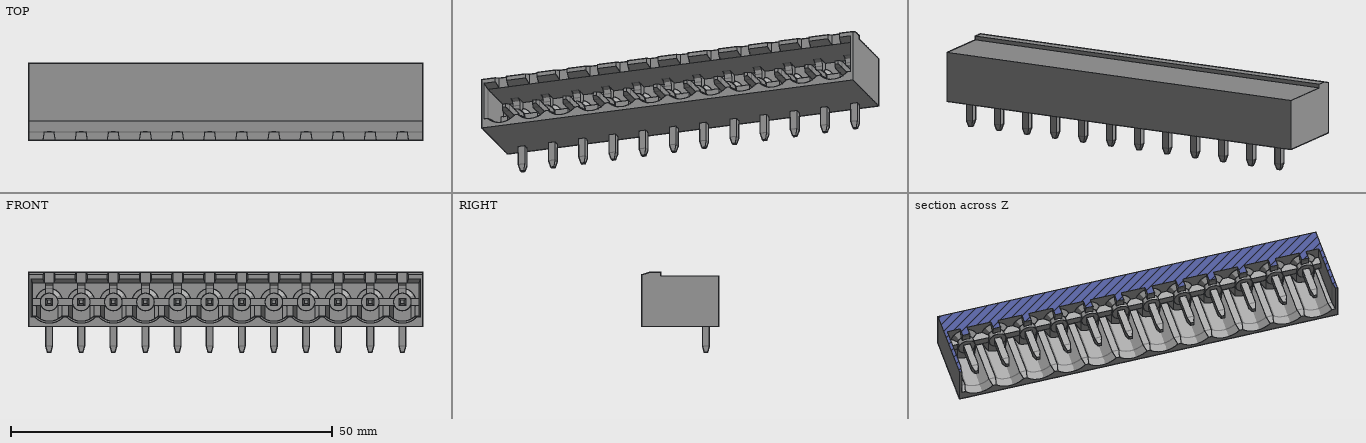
import cadquery as cq


PIN_COUNT = 12
PITCH = 5.0
END_MARGIN = 3.2
PIN_SIZE = 1.1
PIN_ROW_LENGTH = (PIN_COUNT - 1) * PITCH
PIN_X = [i * PITCH - PIN_ROW_LENGTH / 2 for i in range(PIN_COUNT)]

LENGTH = PIN_ROW_LENGTH + 2 * END_MARGIN
DEPTH = 12.0
REAR_HEIGHT = 7.9
LIP_HEIGHT = 8.5
LIP_DEPTH = 3.0
LEAD_IN = 1.3
LIP_FRONT_HEIGHT = 8.1

CAVITY_DEPTH = 8.5
MOUTH_WALL = 0.4
INNER_WALL = 0.6
MOUTH_CEILING = 7.42
INNER_CEILING = 6.84
MOUTH_FLOOR = 1.5
INNER_FLOOR = 1.65

SCALLOP_AXIS_Z = 3.65
SCALLOP_RADIUS = 2.8
SCALLOP_MOUTH_RADIUS = 3.1

NOTCH_MOUTH_WIDTH = 1.9
NOTCH_INNER_WIDTH = 1.5

PIN_Z = 3.85
SEAT_HEIGHT = 1.3
SEAT_RADIUS = 1.37
PAD_BASE_HALF_WIDTH = 2.0
CONE_HEIGHT = 0.75
CONE_BASE_RADIUS = 2.1
SEAT_FACE = CAVITY_DEPTH - SEAT_HEIGHT
HUB_HEIGHT = 0.4
BAR_HEIGHT = 1.1
COLUMN_WIDTH = 1.2
COLUMN_FILLET = 0.9

CONTACT_TIP_Y = 1.4
TAIL_Y = 10.0
TAIL_TIP_Z = -4.0
TAPER_LENGTH = 1.0
TIP_SIZE = 0.55


def box(x_min, x_max, y_min, y_max, z_min, z_max):
    size = (x_max - x_min, y_max - y_min, z_max - z_min)
    return cq.Workplane("XY").box(*size, centered=False).translate((x_min, y_min, z_min))


def facing_front(y):
    """Workplane at depth y whose local axes are X and Z; its normal is -Y."""
    return cq.Workplane("XZ", origin=(0, y, 0))


def cone_along_y(z, y_start, radius_start, y_end, radius_end):
    """Cone or cylinder on the line x = 0 at height z."""
    return (
        cq.Workplane("XY")
        .polyline([(0, y_start), (radius_start, y_start), (radius_end, y_end), (0, y_end)])
        .close()
        .revolve(360, (0, 0, 0), (0, 1, 0))
        .translate((0, 0, z))
    )


def make_housing():
    profile = [
        (0, 0),
        (DEPTH, 0),
        (DEPTH, REAR_HEIGHT),
        (LIP_DEPTH, REAR_HEIGHT),
        (LIP_DEPTH, LIP_HEIGHT),
        (LEAD_IN, LIP_HEIGHT),
        (0, LIP_FRONT_HEIGHT),
    ]
    return cq.Workplane("YZ").polyline(profile).close().extrude(LENGTH / 2, both=True)


def make_cavity():
    """Box-shaped cavity whose walls, ceiling and floor flare towards the mouth."""
    inner_half = LENGTH / 2 - INNER_WALL
    inner = box(-inner_half, inner_half, 0, CAVITY_DEPTH, INNER_FLOOR, INNER_CEILING)
    inner_width = 2 * inner_half
    mouth_width = LENGTH - 2 * MOUTH_WALL
    inner_height = INNER_CEILING - INNER_FLOOR
    mouth_height = MOUTH_CEILING - MOUTH_FLOOR
    inner_middle = (INNER_CEILING + INNER_FLOOR) / 2
    mouth_middle = (MOUTH_CEILING + MOUTH_FLOOR) / 2
    flare = (
        facing_front(LEAD_IN)
        .center(0, inner_middle)
        .rect(inner_width, inner_height)
        .workplane(offset=LEAD_IN)
        .center(0, mouth_middle - inner_middle)
        .rect(mouth_width, mouth_height)
        .loft(ruled=True)
    )
    return inner.union(flare)


def make_scallop():
    trough = cone_along_y(SCALLOP_AXIS_Z, LEAD_IN, SCALLOP_RADIUS, CAVITY_DEPTH, SCALLOP_RADIUS)
    flare = cone_along_y(SCALLOP_AXIS_Z, 0, SCALLOP_MOUTH_RADIUS, LEAD_IN, SCALLOP_RADIUS)
    below_floor = box(-PITCH / 2, PITCH / 2, 0, CAVITY_DEPTH, 0, INNER_FLOOR)
    return trough.union(flare).intersect(below_floor)


def make_notch():
    mouth_half = NOTCH_MOUTH_WIDTH / 2
    inner_half = NOTCH_INNER_WIDTH / 2
    return (
        cq.Workplane("XY", origin=(0, 0, INNER_CEILING))
        .polyline([(-mouth_half, 0), (mouth_half, 0), (inner_half, LEAD_IN), (-inner_half, LEAD_IN)])
        .close()
        .extrude(LIP_HEIGHT - INNER_CEILING)
    )


def make_seat():
    """Tapered pad rising from the floor, a cone and round hub about the pin, and a column to the ceiling."""
    cone = cone_along_y(PIN_Z, CAVITY_DEPTH - CONE_HEIGHT, SEAT_RADIUS, CAVITY_DEPTH, CONE_BASE_RADIUS)
    pad_outline = [
        (-PAD_BASE_HALF_WIDTH, CAVITY_DEPTH),
        (-SEAT_RADIUS, SEAT_FACE),
        (SEAT_RADIUS, SEAT_FACE),
        (PAD_BASE_HALF_WIDTH, CAVITY_DEPTH),
    ]
    pad_bottom = SCALLOP_AXIS_Z - SCALLOP_RADIUS
    pad = (
        cq.Workplane("XY", origin=(0, 0, pad_bottom))
        .polyline(pad_outline)
        .close()
        .extrude(PIN_Z - pad_bottom)
    )
    hub = cone_along_y(PIN_Z, SEAT_FACE - HUB_HEIGHT, SEAT_RADIUS, CAVITY_DEPTH, SEAT_RADIUS)
    column = (
        cq.Workplane("YZ")
        .moveTo(CAVITY_DEPTH, PIN_Z)
        .lineTo(SEAT_FACE, PIN_Z)
        .lineTo(SEAT_FACE, INNER_CEILING - COLUMN_FILLET)
        .radiusArc((SEAT_FACE - COLUMN_FILLET, INNER_CEILING), -COLUMN_FILLET)
        .lineTo(CAVITY_DEPTH, INNER_CEILING)
        .close()
        .extrude(COLUMN_WIDTH / 2, both=True)
    )
    return cone.union(pad).union(hub).union(column)


def make_bar():
    """Horizontal bar along the back wall, joining all the seats."""
    half = LENGTH / 2 - INNER_WALL
    return box(
        -half, half, SEAT_FACE, CAVITY_DEPTH, PIN_Z - BAR_HEIGHT / 2, PIN_Z + BAR_HEIGHT / 2
    )


def tapered_bar(start_plane, length):
    """Square bar whose last stretch tapers to the tip."""
    shank = start_plane.rect(PIN_SIZE, PIN_SIZE).extrude(length - TAPER_LENGTH)
    tip = (
        start_plane.workplane(offset=length - TAPER_LENGTH)
        .rect(PIN_SIZE, PIN_SIZE)
        .workplane(offset=TAPER_LENGTH)
        .rect(TIP_SIZE, TIP_SIZE)
        .loft(ruled=True)
    )
    return shank.union(tip)


def make_pin():
    """Right-angle pin: a contact pointing to -Y and a solder tail pointing to -Z."""
    contact = tapered_bar(facing_front(TAIL_Y).center(0, PIN_Z), TAIL_Y - CONTACT_TIP_Y)
    tail_plane = cq.Workplane("XY", origin=(0, TAIL_Y, PIN_Z)).transformed(rotate=(180, 0, 0))
    tail = tapered_bar(tail_plane, PIN_Z - TAIL_TIP_Z)
    return contact.union(tail)


def at_each_pin(feature):
    copies = [feature.val().translate(cq.Vector(x, 0, 0)) for x in PIN_X]
    return cq.Workplane("XY").newObject(copies).combine()


result = (
    make_housing()
    .cut(make_cavity())
    .cut(at_each_pin(make_scallop()))
    .cut(at_each_pin(make_notch()))
    .union(make_bar())
    .union(at_each_pin(make_seat()))
    .union(at_each_pin(make_pin()))
)